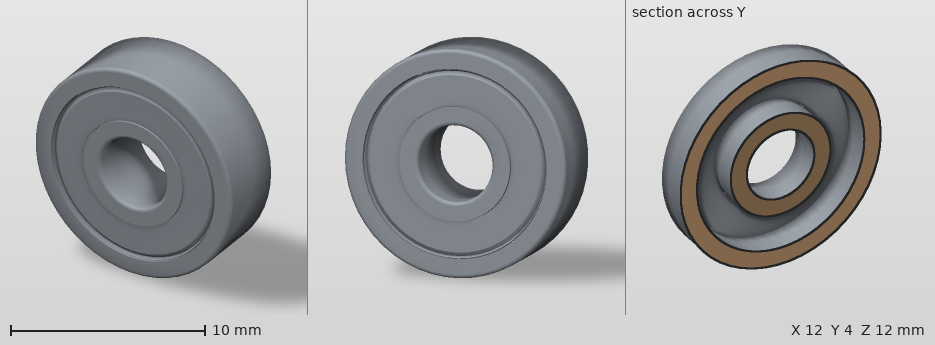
import cadquery as cq

outer_radius = 6.0
bore_radius = 2.0
width = 4.0
edge_round = 0.2

outer_ring_inner_radius = 4.99
inner_ring_outer_radius = 3.0

rim_gap = 0.05
bore_gap = 0.02
shield_recess = 0.1
shield_thickness = 0.4
groove_outer_radius = outer_ring_inner_radius - rim_gap
groove_bottom_radius = 4.85
groove_inner_radius = 4.65
groove_depth = 0.15

half_width = width / 2


def ring(large_radius, small_radius):
    """Full-width ring about the Y axis."""
    return (
        cq.Workplane("XZ", origin=(0, half_width, 0))
        .circle(large_radius)
        .circle(small_radius)
        .extrude(width)
    )


def make_outer_ring():
    blank = ring(outer_radius, outer_ring_inner_radius)
    return blank.edges(cq.selectors.RadiusNthSelector(-1)).fillet(edge_round)


def make_inner_ring():
    blank = ring(inner_ring_outer_radius, bore_radius)
    return blank.edges(cq.selectors.RadiusNthSelector(0)).fillet(edge_round)


def make_shield(side):
    """Shield on the -Y (side = -1) or +Y (side = 1) end of the bearing."""
    face = half_width - shield_recess
    back = face - shield_thickness
    profile = [
        (inner_ring_outer_radius + bore_gap, back),
        (inner_ring_outer_radius + bore_gap, face),
        (groove_inner_radius, face),
        (groove_bottom_radius, face - groove_depth),
        (groove_outer_radius, face),
        (groove_outer_radius, back),
    ]
    section = cq.Workplane("XY").polyline([(radius, side * y) for radius, y in profile]).close()
    return section.revolve(360, (0, 0, 0), (0, 1, 0))


outer_ring = make_outer_ring()
inner_ring = make_inner_ring()
shields = [make_shield(side) for side in (-1, 1)]

result = cq.Compound.makeCompound(
    [outer_ring.val(), inner_ring.val(), *[shield.val() for shield in shields]]
)